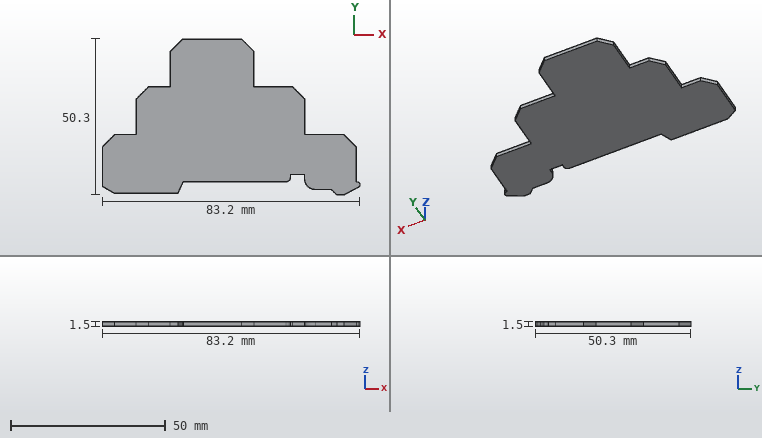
import cadquery as cq
import math

length = 83.2
width = 50.3
thickness = 1.5

tier_height = 15.4
middle_top = width - tier_height
lower_top = middle_top - tier_height
corner = 4.0
lower_right = 81.95
middle_left = 10.9
middle_right = 65.4
upper_left = 21.9
upper_right = 48.9

base_y = 4.25
foot_y = 0.5
foot_corner_x = 3.9
foot_corner_y = 2.75
foot_right = 24.4
foot_slope_end = 26.1

notch_left = 60.7
notch_right = 65.2
notch_top = 6.6
notch_small_radius = 1.4
notch_large_radius = 3.5

shelf_y = 1.75
shelf_right = 73.9
latch_left = 75.7
latch_right = 78.0
tip_radius = 0.9
tip_angle = math.radians(-60)
tip_x = length - tip_radius
tip_y = base_y - tip_radius


def point_on_circle(center_x, center_y, radius, angle):
    """Point on a circle at an angle measured from +X."""
    return (center_x + radius * math.cos(angle), center_y + radius * math.sin(angle))


small_arc_x = notch_left - notch_small_radius
small_arc_y = base_y + notch_small_radius
large_arc_x = notch_right + notch_large_radius
large_arc_y = shelf_y + notch_large_radius
tip_lower_end = point_on_circle(tip_x, tip_y, tip_radius, tip_angle)

outline = (
    cq.Workplane("XY")
    .moveTo(foot_corner_x, foot_y)
    .lineTo(0, foot_corner_y)
    .lineTo(0, lower_top - corner)
    .lineTo(corner, lower_top)
    .lineTo(middle_left, lower_top)
    .lineTo(middle_left, middle_top - corner)
    .lineTo(middle_left + corner, middle_top)
    .lineTo(upper_left, middle_top)
    .lineTo(upper_left, width - corner)
    .lineTo(upper_left + corner, width)
    .lineTo(upper_right - corner, width)
    .lineTo(upper_right, width - corner)
    .lineTo(upper_right, middle_top)
    .lineTo(middle_right - corner, middle_top)
    .lineTo(middle_right, middle_top - corner)
    .lineTo(middle_right, lower_top)
    .lineTo(lower_right - corner, lower_top)
    .lineTo(lower_right, lower_top - corner)
    .lineTo(lower_right, base_y)
)

outline = (
    outline
    .lineTo(tip_x, base_y)
    .threePointArc((length, tip_y), tip_lower_end)
    .lineTo(latch_right, 0)
    .lineTo(latch_left, 0)
    .lineTo(shelf_right, shelf_y)
)

outline = (
    outline
    .lineTo(large_arc_x, shelf_y)
    .threePointArc(
        point_on_circle(large_arc_x, large_arc_y, notch_large_radius, math.radians(225)),
        (notch_right, large_arc_y),
    )
    .lineTo(notch_right, notch_top)
    .lineTo(notch_left, notch_top)
    .lineTo(notch_left, small_arc_y)
    .threePointArc(
        point_on_circle(small_arc_x, small_arc_y, notch_small_radius, math.radians(-45)),
        (small_arc_x, base_y),
    )
    .lineTo(foot_slope_end, base_y)
    .lineTo(foot_right, foot_y)
    .close()
)

result = outline.extrude(thickness)